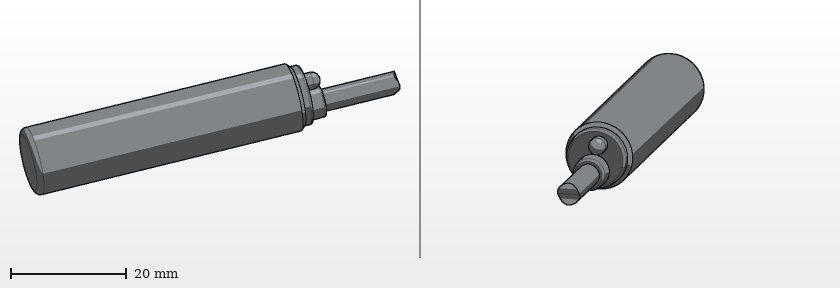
import cadquery as cq

LENGTH = 66.5
FRONT_Y = -LENGTH / 2
CABLE_END_Y = LENGTH / 2

BODY_DIAMETER = 12.0
BODY_LENGTH = 47.8
FRONT_FILLET = 1.0

CAP_DIAMETER = 10.6
CONE_LENGTH = 0.7
CAP_LENGTH = 1.45
CAP_FILLET = 0.4
CONE_START_Y = FRONT_Y + BODY_LENGTH
CAP_START_Y = CONE_START_Y + CONE_LENGTH
CAP_END_Y = CAP_START_Y + CAP_LENGTH

CABLE_X = 0.5
CABLE_Z = -2.2
CABLE_DIAMETER = 3.9
COLLAR_BASE_DIAMETER = 5.85
COLLAR_TIP_DIAMETER = 5.65
COLLAR_LENGTH = 3.0
COLLAR_FILLET = 0.4

BREAK_BULGE = 0.5

LAMP_X = -0.6
LAMP_Z = 2.6
LAMP_DIAMETER = 3.0
LAMP_STRAIGHT = 1.4


def cross_section(x, y, z):
    """Workplane at the given point, facing +Y."""
    return cq.Workplane(cq.Plane(origin=(x, y, z), xDir=(1, 0, 0), normal=(0, 1, 0)))


def make_housing():
    barrel = cross_section(0, FRONT_Y, 0).circle(BODY_DIAMETER / 2).extrude(BODY_LENGTH)
    barrel = barrel.faces("<Y").edges().fillet(FRONT_FILLET)
    cone = (
        cross_section(0, CONE_START_Y, 0)
        .circle(BODY_DIAMETER / 2)
        .workplane(offset=CONE_LENGTH)
        .circle(CAP_DIAMETER / 2)
        .loft()
    )
    cap = cross_section(0, CAP_START_Y, 0).circle(CAP_DIAMETER / 2).extrude(CAP_LENGTH)
    cap = cap.faces(">Y").edges().fillet(CAP_FILLET)
    return barrel.union(cone).union(cap)


def make_collar():
    collar = (
        cross_section(CABLE_X, CAP_END_Y, CABLE_Z)
        .circle(COLLAR_BASE_DIAMETER / 2)
        .workplane(offset=COLLAR_LENGTH)
        .circle(COLLAR_TIP_DIAMETER / 2)
        .loft()
    )
    return collar.faces(">Y").edges().fillet(COLLAR_FILLET)


def make_cable():
    """Cable ending in a break: the upper half bulges out, the lower half is hollowed."""
    radius = CABLE_DIAMETER / 2
    break_y = CABLE_END_Y - BREAK_BULGE
    cable = cross_section(CABLE_X, CAP_END_Y, CABLE_Z).circle(radius).extrude(CABLE_END_Y - CAP_END_Y)
    break_profile = (
        cq.Workplane("YZ")
        .moveTo(CAP_END_Y, CABLE_Z - radius)
        .lineTo(break_y, CABLE_Z - radius)
        .threePointArc((break_y - BREAK_BULGE, CABLE_Z - radius / 2), (break_y, CABLE_Z))
        .threePointArc((CABLE_END_Y, CABLE_Z + radius / 2), (break_y, CABLE_Z + radius))
        .lineTo(CAP_END_Y, CABLE_Z + radius)
        .close()
        .extrude(BODY_DIAMETER, both=True)
    )
    return cable.intersect(break_profile)


def make_lamp():
    radius = LAMP_DIAMETER / 2
    stem = cross_section(LAMP_X, CAP_END_Y, LAMP_Z).circle(radius).extrude(LAMP_STRAIGHT)
    dome = cross_section(LAMP_X, CAP_END_Y + LAMP_STRAIGHT, LAMP_Z).sphere(radius)
    outer_half = (
        cross_section(LAMP_X, CAP_END_Y + LAMP_STRAIGHT, LAMP_Z)
        .rect(LAMP_DIAMETER, LAMP_DIAMETER)
        .extrude(radius)
    )
    return stem.union(dome.intersect(outer_half))


result = make_housing().union(make_collar()).union(make_cable()).union(make_lamp())